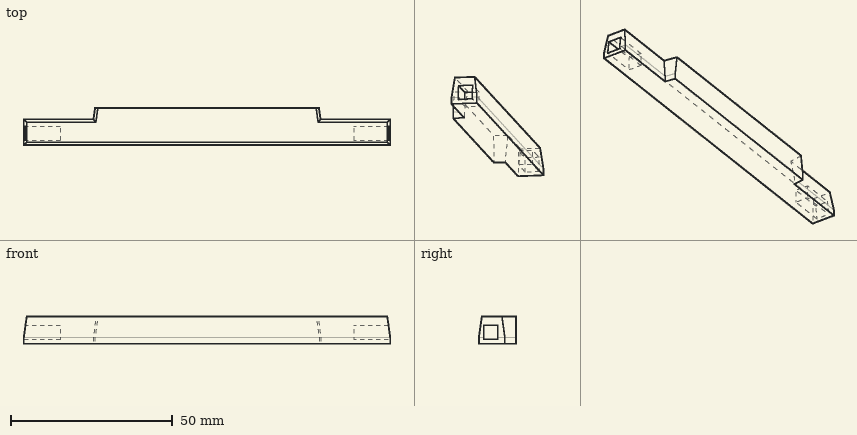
import cadquery as cq
import math

bar_length = 113.2
bar_width = 8.0
height = 8.5
skirt_height = 2.0
draft_angle = 8.0

overall_width = 11.5
tab_root_length = 70.2

socket_size = 4.4
socket_depth = 11.3
socket_front_wall = 1.5
socket_floor = 1.4

draft_slope = math.tan(math.radians(draft_angle))
drafted_height = height - skirt_height


def make_bar():
    """Straight skirt with all four walls drafted inward above it."""
    skirt = cq.Workplane("XY").box(bar_length, bar_width, skirt_height, centered=(True, False, False))
    upper = (
        cq.Workplane("XY", origin=(0, bar_width / 2, skirt_height))
        .rect(bar_length, bar_width)
        .extrude(drafted_height, taper=draft_angle)
    )
    return skirt.union(upper)


def tab_outline(end_inset):
    """Corners of the tab in plan, from inside the bar to the back face."""
    inner_y = bar_width / 2

    def half_length(y):
        return tab_root_length / 2 - end_inset - (y - bar_width) * draft_slope

    inner_half = half_length(inner_y)
    outer_half = half_length(overall_width)
    return [
        (-inner_half, inner_y),
        (inner_half, inner_y),
        (outer_half, overall_width),
        (-outer_half, overall_width),
    ]


def make_tab():
    """Tab with a vertical back face and ends that lean inward above the skirt."""
    skirt = cq.Workplane("XY").polyline(tab_outline(0)).close().extrude(skirt_height)
    upper = (
        cq.Workplane("XY", origin=(0, 0, skirt_height))
        .polyline(tab_outline(0))
        .close()
        .workplane(offset=drafted_height)
        .polyline(tab_outline(drafted_height * draft_slope))
        .close()
        .loft(ruled=True)
    )
    return skirt.union(upper)


def make_socket(side):
    """Square socket volume at one end of the bar; side is -1 or 1 along X."""
    center = (
        side * (bar_length - socket_depth) / 2,
        socket_front_wall + socket_size / 2,
        socket_floor + socket_size / 2,
    )
    return cq.Workplane("XY").box(socket_depth, socket_size, socket_size).translate(center)


result = make_bar().union(make_tab())
for side in (-1, 1):
    result = result.cut(make_socket(side))